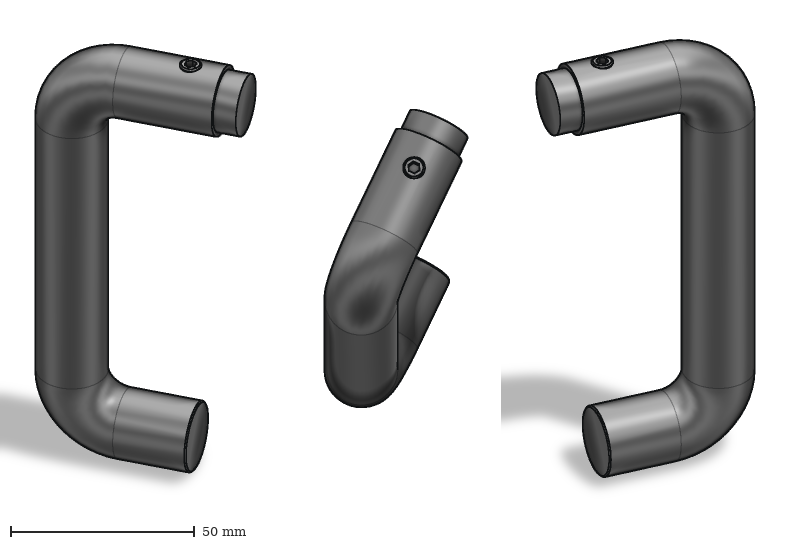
import cadquery as cq
import math

bar_diameter = 20.0
overall_height = 133.2
overall_depth = 60.0
bend_radius = 0.75 * bar_diameter
lower_leg_end = 46.0
lower_end_chamfer = 0.4

spigot_diameter = 17.5
spigot_length = 6.5

screw_x = 44.1
screw_diameter = 6.0
screw_chamfer_diameter = 5.0
screw_length = 6.0
screw_protrusion = 0.3
socket_across_flats = 2.9
socket_depth = 2.0

bar_radius = bar_diameter / 2
upper_leg_end = overall_depth - spigot_length
lower_leg_z = bar_radius
upper_leg_z = overall_height - screw_protrusion - bar_radius
grip_bottom_z = lower_leg_z + bend_radius
grip_top_z = upper_leg_z - bend_radius
bend_end_x = bar_radius + bend_radius
screw_bottom_z = overall_height - screw_length


def make_bar():
    """Round bar swept from the lower leg, up the grip, to the upper leg."""
    arc_offset = bend_radius * (1 - math.sqrt(0.5))
    path = (
        cq.Workplane("XZ")
        .moveTo(lower_leg_end, lower_leg_z)
        .lineTo(bend_end_x, lower_leg_z)
        .threePointArc(
            (bar_radius + arc_offset, lower_leg_z + arc_offset),
            (bar_radius, grip_bottom_z),
        )
        .lineTo(bar_radius, grip_top_z)
        .threePointArc(
            (bar_radius + arc_offset, upper_leg_z - arc_offset),
            (bend_end_x, upper_leg_z),
        )
        .lineTo(upper_leg_end, upper_leg_z)
    )
    return (
        cq.Workplane("YZ", origin=(lower_leg_end, 0, lower_leg_z))
        .circle(bar_radius)
        .sweep(path)
        .faces(cq.selectors.NearestToPointSelector((lower_leg_end, 0, lower_leg_z)))
        .chamfer(lower_end_chamfer)
    )


def screw_cylinder(bottom_z, top_z):
    """Upright cylinder on the screw axis."""
    return (
        cq.Workplane("XY", origin=(screw_x, 0, bottom_z))
        .circle(screw_diameter / 2)
        .extrude(top_z - bottom_z)
    )


def make_handle():
    """Bent bar with its spigot and the hole for the set screw."""
    spigot = (
        cq.Workplane("YZ", origin=(upper_leg_end, 0, upper_leg_z))
        .circle(spigot_diameter / 2)
        .extrude(spigot_length)
    )
    handle = make_bar().union(spigot)
    return handle.cut(screw_cylinder(screw_bottom_z, overall_height))


def make_set_screw():
    """Headless screw, just proud of the bar, with a chamfered top and a hexagon socket."""
    chamfer = (screw_diameter - screw_chamfer_diameter) / 2
    screw = screw_cylinder(screw_bottom_z, overall_height).faces(">Z").chamfer(chamfer)
    socket = (
        cq.Workplane("XY", origin=(screw_x, 0, overall_height))
        .polygon(6, socket_across_flats, circumscribed=True)
        .extrude(-socket_depth)
    )
    return screw.cut(socket)


handle = make_handle()
set_screw = make_set_screw()

result = cq.Compound.makeCompound([handle.val(), set_screw.val()])